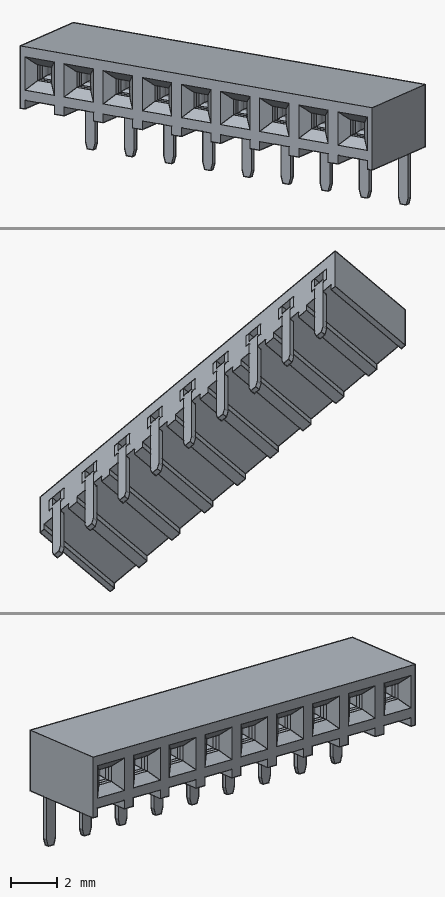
import cadquery as cq

position_count = 9
housing_length = 18.0
housing_depth = 4.3
housing_height = 2.8
overall_height = 5.5
pitch = housing_length / position_count

partition = pitch / 4
opening_width = pitch - partition
notch_height = 0.4
body_height = housing_height - notch_height

funnel_depth = 0.4
throat_length = 0.2
throat_size = 0.7

sheet_thickness = 0.1
flush_length = 0.2
ramp_length = 0.27
channel_width = throat_size - 2 * sheet_thickness
wall_thickness = 2 * sheet_thickness
leg_width = channel_width
leg_thickness = 0.22
tip_length = 0.32
tip_width = 0.3

body_bottom = notch_height
socket_center = body_bottom + body_height / 2
throat_bottom = socket_center - throat_size / 2
throat_top = socket_center + throat_size / 2
contact_bottom = throat_bottom - sheet_thickness
channel_floor = contact_bottom + wall_thickness
leg_bottom = housing_height - overall_height

contact_front = funnel_depth + throat_length
contact_length = housing_depth - contact_front
leg_front = housing_depth - leg_thickness

contact_width = throat_size + 2 * sheet_thickness
contact_height = throat_top - contact_bottom

position_centers = [(i - (position_count - 1) / 2) * pitch for i in range(position_count)]


def box_between(width, y_range, z_range):
    """Box centred on X = 0 that spans the given Y and Z ranges."""
    depth = y_range[1] - y_range[0]
    height = z_range[1] - z_range[0]
    return (
        cq.Workplane("XY")
        .box(width, depth, height, centered=(True, False, False))
        .translate((0, y_range[0], z_range[0]))
    )


def make_funnel():
    """Pyramid-shaped lead-in that narrows from the front face to the throat."""
    return (
        cq.Workplane("XZ", origin=(0, 0, socket_center))
        .rect(opening_width, opening_width)
        .workplane(offset=-funnel_depth)
        .rect(throat_size, throat_size)
        .loft(ruled=True)
    )


def make_socket():
    """Space for the mating pin and the contact at one position."""
    throat = box_between(throat_size, (funnel_depth, contact_front), (throat_bottom, throat_top))
    pocket = box_between(contact_width, (contact_front, housing_depth), (contact_bottom, throat_top))
    leg_slot = box_between(leg_width, (leg_front, housing_depth), (body_bottom, contact_bottom))
    return make_funnel().union(throat).union(pocket).union(leg_slot)


def make_housing():
    housing = box_between(housing_length, (0, housing_depth), (0, housing_height))
    socket = make_socket()
    notch = box_between(opening_width, (0, housing_depth), (0, body_bottom))
    for x in position_centers:
        housing = housing.cut(socket.translate((x, 0, 0)))
        housing = housing.cut(notch.translate((x, 0, 0)))
    return housing


def make_contact_wall(width):
    """Wall lying flat on Z = 0 from Y = 0 back, with its curved ramp facing up."""
    return (
        cq.Workplane("YZ")
        .moveTo(0, 0)
        .lineTo(contact_length, 0)
        .lineTo(contact_length, wall_thickness)
        .lineTo(flush_length + ramp_length, wall_thickness)
        .tangentArcPoint((flush_length, sheet_thickness), relative=False)
        .lineTo(0, sheet_thickness)
        .close()
        .extrude(width / 2, both=True)
    )


def make_leg():
    """Flat leg with a tapered tip, flush with the back of the housing."""
    shoulder = leg_bottom + tip_length
    return (
        cq.Workplane("XZ", origin=(0, housing_depth, 0))
        .moveTo(-leg_width / 2, channel_floor)
        .lineTo(leg_width / 2, channel_floor)
        .lineTo(leg_width / 2, shoulder)
        .lineTo(tip_width / 2, leg_bottom)
        .lineTo(-tip_width / 2, leg_bottom)
        .lineTo(-leg_width / 2, shoulder)
        .close()
        .extrude(leg_thickness)
    )


def make_contact():
    floor = make_contact_wall(contact_width).translate((0, contact_front, contact_bottom))
    upright = make_contact_wall(contact_height).rotate((0, 0, 0), (0, 1, 0), 90)
    left_wall = upright.translate(
        (-contact_width / 2, contact_front, contact_bottom + contact_height / 2)
    )
    right_wall = left_wall.mirror("YZ")
    return floor.union(left_wall).union(right_wall).union(make_leg())


housing = make_housing()
contact = make_contact()
contacts = [contact.translate((x, 0, 0)) for x in position_centers]

result = cq.Compound.makeCompound([housing.val(), *[body.val() for body in contacts]])